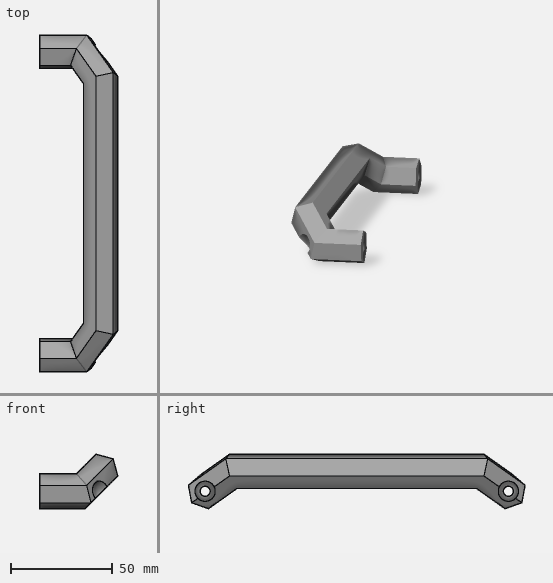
import cadquery as cq
import math

OVERALL_LENGTH = 166.2
HEX_RADIUS = 8.8
GRIP_OFFSET = 30.0
GRIP_RISE = 9.8
SCREW_DIAMETER = 4.8
COUNTERBORE_DIAMETER = 10.0
COUNTERBORE_START = 20.0

DIAGONAL = cq.Vector(1, -math.sqrt(2), 1).normalized()
LEG = cq.Vector(1, 0, 0)
GRIP = cq.Vector(0, -1, 0)

LEG_CORNER_ANGLE = math.asin(1 / 3)
LEG_Y = OVERALL_LENGTH / 2 - HEX_RADIUS * math.cos(LEG_CORNER_ANGLE)

foot = cq.Vector(0, LEG_Y, 0)
lower_bend = cq.Vector(GRIP_OFFSET - GRIP_RISE, LEG_Y, 0)
upper_bend = lower_bend + DIAGONAL * (GRIP_RISE / DIAGONAL.z)
grip_middle = cq.Vector(GRIP_OFFSET, 0, GRIP_RISE)


def slide_to_plane(points, direction, origin, normal):
    """Move points along a bar direction until they lie on a plane."""
    return [
        p + direction * ((origin - p).dot(normal) / direction.dot(normal))
        for p in points
    ]


def flat_face(points):
    """Planar face bounded by straight edges."""
    return cq.Face.makeFromWires(cq.Wire.makePolygon(points, close=True))


def hexagonal_bar(sections):
    """Solid with flat sides running through a chain of planar sections."""
    faces = [flat_face(sections[0]), flat_face(sections[-1])]
    for start, end in zip(sections, sections[1:]):
        for i in range(len(start)):
            faces.append(flat_face([start[i - 1], start[i], end[i], end[i - 1]]))
    return cq.Workplane(obj=cq.Solid.makeSolid(cq.Shell.makeShell(faces)))


def leg_section():
    """Hexagon on the mounting face."""
    angles = [LEG_CORNER_ANGLE + i * math.pi / 3 for i in range(6)]
    return [
        foot + cq.Vector(0, math.cos(a), math.sin(a)) * HEX_RADIUS
        for a in angles
    ]


def half_handle():
    """Leg, diagonal and half of the grip, joined at mitre planes."""
    base = leg_section()
    lower_mitre = slide_to_plane(base, LEG, lower_bend, LEG + DIAGONAL)
    upper_mitre = slide_to_plane(lower_mitre, DIAGONAL, upper_bend, DIAGONAL + GRIP)
    middle = slide_to_plane(upper_mitre, GRIP, grip_middle, GRIP)
    return hexagonal_bar([base, lower_mitre, upper_mitre, middle])


def bore(diameter, start):
    """Cylinder along the leg axis, reaching past the outside of the handle."""
    reach = GRIP_OFFSET + HEX_RADIUS
    plane = cq.Workplane("YZ", origin=(start, LEG_Y, 0))
    return plane.circle(diameter / 2).extrude(reach)


half = half_handle()
half = half.cut(bore(SCREW_DIAMETER, 0))
half = half.cut(bore(COUNTERBORE_DIAMETER, COUNTERBORE_START))
result = half.union(half.mirror("XZ")).clean()